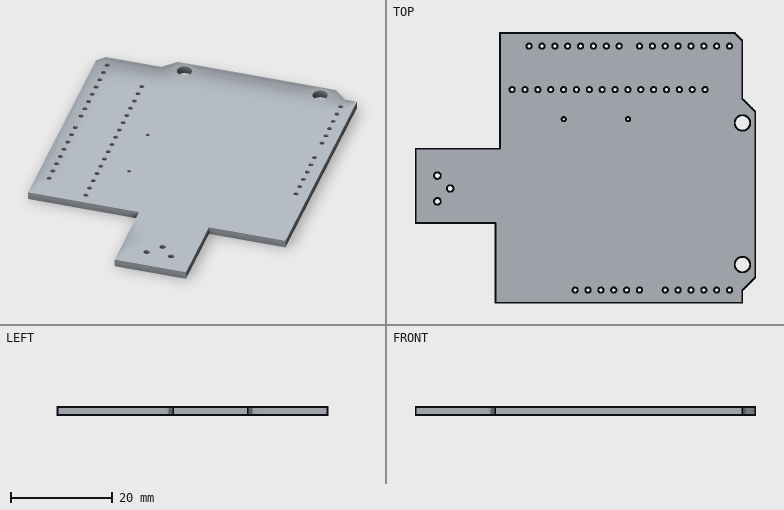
import cadquery as cq

length = 67.05
width = 53.3
thickness = 1.6

tab_bottom = 15.75
tab_top = 30.45
body_left_lower = 15.75
body_left_upper = 16.6

step_depth = 2.55
shoulder_x = length - step_depth
lower_shoulder_start = 2.5
upper_shoulder_end = 40.3
corner_cut = 1.55

pin_diameter = 1.0
inner_row_pins = 16
inner_row_start = 19.05
inner_row_length = 38.1
inner_row_y = 42.1
pin_pitch = inner_row_length / (inner_row_pins - 1)
last_pin_x = 61.95
bottom_row_y = 2.55
top_row_y = 50.7
long_header_pins = 8
short_header_pins = 6
top_left_start = 22.4
top_right_start = last_pin_x - (long_header_pins - 1) * pin_pitch
bottom_right_start = last_pin_x - (short_header_pins - 1) * pin_pitch
bottom_left_start = bottom_right_start - (short_header_pins + 1) * pin_pitch

mount_diameter = 3.0
mount_x = shoulder_x
mount_lower_y = 7.6
mount_upper_y = 35.55

small_diameter = 0.8
small_left_x = 29.25
small_spacing = 5 * pin_pitch
small_y = 36.3

tab_hole_diameter = 1.3
tab_hole_x = 4.3
tab_hole_y = 22.6


def pin_row(start_x, y, count):
    """Centres of a row of pins at the header pitch."""
    return [(start_x + i * pin_pitch, y) for i in range(count)]


def drill(board, centres, diameter):
    """Cut through holes at the given centres."""
    tools = cq.Workplane("XY").pushPoints(centres).circle(diameter / 2).extrude(thickness)
    return board.cut(tools)


outline = [
    (0, tab_bottom),
    (body_left_lower, tab_bottom),
    (body_left_lower, 0),
    (shoulder_x, 0),
    (shoulder_x, lower_shoulder_start),
    (length, lower_shoulder_start + step_depth),
    (length, upper_shoulder_end - step_depth),
    (shoulder_x, upper_shoulder_end),
    (shoulder_x, width - corner_cut),
    (shoulder_x - corner_cut, width),
    (body_left_upper, width),
    (body_left_upper, tab_top),
    (0, tab_top),
]
board = cq.Workplane("XY").polyline(outline).close().extrude(thickness)

pins = (
    pin_row(top_left_start, top_row_y, long_header_pins)
    + pin_row(top_right_start, top_row_y, long_header_pins)
    + pin_row(inner_row_start, inner_row_y, inner_row_pins)
    + pin_row(bottom_left_start, bottom_row_y, short_header_pins)
    + pin_row(bottom_right_start, bottom_row_y, short_header_pins)
)
board = drill(board, pins, pin_diameter)

mounts = [(mount_x, mount_lower_y), (mount_x, mount_upper_y)]
board = drill(board, mounts, mount_diameter)

small_holes = [(small_left_x, small_y), (small_left_x + small_spacing, small_y)]
board = drill(board, small_holes, small_diameter)

tab_holes = [
    (tab_hole_x, tab_hole_y - pin_pitch),
    (tab_hole_x + pin_pitch, tab_hole_y),
    (tab_hole_x, tab_hole_y + pin_pitch),
]
result = drill(board, tab_holes, tab_hole_diameter)